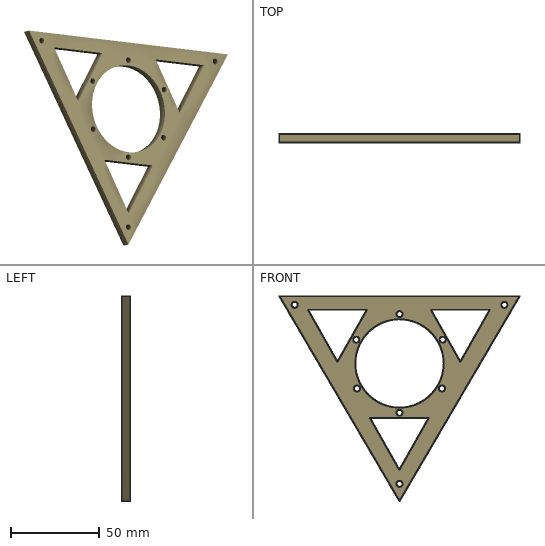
import cadquery as cq
import math

plate_width = 136.5
plate_height = 116.47
plate_thickness = 5.0
top_edge_z = 38.25
bottom_tip_z = top_edge_z - plate_height

bore_diameter = 50.0
hole_diameter = 3.3
ring_radius = 28.0
upper_hole_angle = 28.8
lower_hole_angle = 30.5

corner_hole_x = 59.5
corner_hole_top_inset = 5.0
corner_hole_tip_inset = 9.9

window_width = 33.1
window_height = 29.25
window_spacing = 69.75
upper_window_offset_x = -0.35
lower_window_offset_x = -0.1
upper_window_top_inset = 7.9
lower_window_top_z = -31.0


def triangle_prism(center_x, top_z, width, height):
    """Downward-pointing triangle with a level top edge, as thick as the plate."""
    corners = [
        (center_x - width / 2, top_z),
        (center_x + width / 2, top_z),
        (center_x, top_z - height),
    ]
    return cq.Workplane("XZ").polyline(corners).close().extrude(-plate_thickness)


def through_cylinders(centers, diameter):
    """Cylinders along Y at the given (x, z) centres, as thick as the plate."""
    return cq.Workplane("XZ").pushPoints(centers).circle(diameter / 2).extrude(-plate_thickness)


def ring_point(angle):
    """Point on the hole ring, with the angle in degrees from +X toward +Z."""
    radians = math.radians(angle)
    return (ring_radius * math.cos(radians), ring_radius * math.sin(radians))


def cut_windows(plate):
    upper_window_top_z = top_edge_z - upper_window_top_inset
    window_places = [
        (upper_window_offset_x - window_spacing / 2, upper_window_top_z),
        (upper_window_offset_x + window_spacing / 2, upper_window_top_z),
        (lower_window_offset_x, lower_window_top_z),
    ]
    for center_x, top_z in window_places:
        plate = plate.cut(triangle_prism(center_x, top_z, window_width, window_height))
    return plate


def cut_ring_holes(plate):
    angles = [
        90,
        180 - upper_hole_angle,
        180 + lower_hole_angle,
        270,
        -lower_hole_angle,
        upper_hole_angle,
    ]
    centers = [ring_point(angle) for angle in angles]
    return plate.cut(through_cylinders(centers, hole_diameter))


def cut_corner_holes(plate):
    upper_z = top_edge_z - corner_hole_top_inset
    centers = [
        (-corner_hole_x, upper_z),
        (corner_hole_x, upper_z),
        (0, bottom_tip_z + corner_hole_tip_inset),
    ]
    return plate.cut(through_cylinders(centers, hole_diameter))


result = triangle_prism(0, top_edge_z, plate_width, plate_height)
result = result.cut(through_cylinders([(0, 0)], bore_diameter))
result = cut_ring_holes(result)
result = cut_corner_holes(result)
result = cut_windows(result)